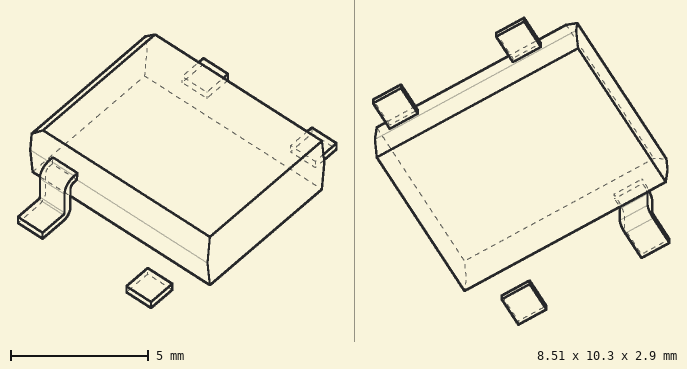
import cadquery as cq
import math

span_y = 10.3
top_z = 2.9

package_length = 8.51
waist_width = 6.49
face_width = 6.22
bottom_z = 0.3
waist_z = (bottom_z + top_z) / 2
edge_bevel = 0.5

terminal_width = 1.18
pad_length = 1.18
terminal_pitch = 5.2
strip_thickness = 0.33

shoulder_inner_radius = 0.21
foot_inner_radius = 0.06
foot_flat = 1.15
shoulder_outer_radius = shoulder_inner_radius + strip_thickness
foot_outer_radius = foot_inner_radius + strip_thickness

left_x = -terminal_pitch / 2
right_x = terminal_pitch / 2
arc_middle = math.sqrt(0.5)


def make_package():
    """Body with sides tapering away from its waist and a bevelled -X top edge."""
    profile = (
        cq.Workplane("YZ")
        .moveTo(-face_width / 2, bottom_z)
        .lineTo(face_width / 2, bottom_z)
        .lineTo(waist_width / 2, waist_z)
        .lineTo(face_width / 2, top_z)
        .lineTo(-face_width / 2, top_z)
        .lineTo(-waist_width / 2, waist_z)
        .close()
    )
    body = profile.extrude(package_length / 2, both=True)
    return body.faces(">Z").edges("<X").chamfer(edge_bevel)


def make_lead():
    """Gull-wing strip that leaves the -Y side just above the waist and ends in a foot."""
    tip_y = -span_y / 2
    foot_bend_y = tip_y + foot_flat
    foot_bend_z = foot_outer_radius
    shoulder_top_z = waist_z + strip_thickness
    shoulder_z = shoulder_top_z - shoulder_outer_radius
    outer_y = foot_bend_y + foot_inner_radius
    inner_y = outer_y + strip_thickness
    shoulder_y = outer_y + shoulder_outer_radius
    root_y = -face_width / 2

    def on_arc(center_y, center_z, radius, side_y, side_z):
        """Middle point of a quarter arc in the quadrant given by the two signs."""
        return (
            center_y + side_y * radius * arc_middle,
            center_z + side_z * radius * arc_middle,
        )

    foot_inner_mid = on_arc(foot_bend_y, foot_bend_z, foot_inner_radius, 1, -1)
    foot_outer_mid = on_arc(foot_bend_y, foot_bend_z, foot_outer_radius, 1, -1)
    shoulder_inner_mid = on_arc(shoulder_y, shoulder_z, shoulder_inner_radius, -1, 1)
    shoulder_outer_mid = on_arc(shoulder_y, shoulder_z, shoulder_outer_radius, -1, 1)

    profile = (
        cq.Workplane("YZ", origin=(left_x, 0, 0))
        .moveTo(tip_y, 0)
        .lineTo(foot_bend_y, 0)
        .threePointArc(foot_outer_mid, (inner_y, foot_bend_z))
        .lineTo(inner_y, shoulder_z)
        .threePointArc(shoulder_inner_mid, (shoulder_y, waist_z))
        .lineTo(root_y, waist_z)
        .lineTo(root_y, shoulder_top_z)
        .lineTo(shoulder_y, shoulder_top_z)
        .threePointArc(shoulder_outer_mid, (outer_y, shoulder_z))
        .lineTo(outer_y, foot_bend_z)
        .threePointArc(foot_inner_mid, (foot_bend_y, strip_thickness))
        .lineTo(tip_y, strip_thickness)
        .close()
    )
    return profile.extrude(terminal_width / 2, both=True)


def make_pad(x, side_y):
    """Flat terminal pad with its outer edge on the Y limit of the part."""
    center_y = side_y * (span_y - pad_length) / 2
    pad = cq.Workplane("XY").box(
        terminal_width, pad_length, strip_thickness, centered=(True, True, False)
    )
    return pad.translate((x, center_y, 0))


package = make_package().union(make_lead())
pads = []
for pad_x, pad_side in [(right_x, -1), (left_x, 1), (right_x, 1)]:
    pads.append(make_pad(pad_x, pad_side).val())

result = cq.Compound.makeCompound([package.val(), *pads])